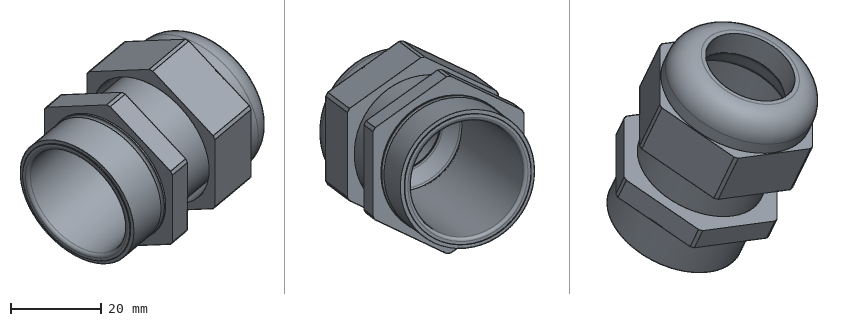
import cadquery as cq


across_flats = 36.0
across_corners = 41.0

thread_diameter = 32.0
relief_diameter = 30.16
collar_diameter = 32.27
neck_diameter = 29.85
thread_end = -11.5
thread_setback = 0.3
thread_back = -1.5
collar_length = 0.45
relief_fillet = 0.8
flange_width = 5.4
neck_exposed = 9.85
bore_diameter = 27.0
mouth_radius = 0.8

hex_width = 12.95
cap_diameter = 35.5
dome_radius = 6.2
nut_bore_diameter = 32.75
cable_hole_diameter = 21.0
overall_length = 48.8

seal_diameter = 27.5
seal_cone_diameter = 26.4
seal_throat_diameter = 21.9
seal_bore_diameter = 21.5
seal_lead_length = 0.65
seal_cone_length = 4.0
seal_throat_length = 0.7

thread_start = thread_end + thread_setback
nut_front = flange_width + neck_exposed
hex_back = nut_front + hex_width
cap_end = thread_end + overall_length
dome_start = cap_end - dome_radius
seal_throat_start = dome_start - seal_throat_length
seal_cone_start = seal_throat_start - seal_cone_length
seal_front = seal_cone_start - seal_lead_length


def turned(profile):
    """Revolve a closed (radius, Y) profile about the Y axis."""
    return profile.close().revolve(360, (0, 0, 0), (0, 1, 0))


def cylinder(diameter, start, end):
    """Solid cylinder on the Y axis between two Y positions."""
    return turned(cq.Workplane("XY").moveTo(0, start).lineTo(diameter / 2, start)
                  .lineTo(diameter / 2, end).lineTo(0, end))


def hexagon(start, end):
    """Hexagonal prism with flats on +X and -X and turned corners."""
    prism = (
        cq.Workplane("XZ", origin=(0, start, 0))
        .polygon(6, across_flats, circumscribed=True)
        .extrude(start - end)
    )
    return prism.intersect(cylinder(across_corners, start, end))


def make_body():
    """Threaded stub, hexagonal flange and neck with a bore and a seal pocket."""
    relief_radius = relief_diameter / 2
    thread_radius = thread_diameter / 2
    collar_radius = collar_diameter / 2
    neck_radius = neck_diameter / 2
    bore_radius = bore_diameter / 2
    pocket_radius = seal_diameter / 2

    shell = turned(
        cq.Workplane("XY")
        .moveTo(bore_radius + mouth_radius, thread_end)
        .lineTo(relief_radius, thread_end)
        .lineTo(relief_radius, thread_start)
        .lineTo(thread_radius, thread_start)
        .lineTo(thread_radius, thread_back)
        .lineTo(relief_radius, thread_back)
        .lineTo(relief_radius, -collar_length - relief_fillet)
        .radiusArc((relief_radius + relief_fillet, -collar_length), relief_fillet)
        .lineTo(collar_radius, -collar_length)
        .lineTo(collar_radius, flange_width)
        .lineTo(neck_radius, flange_width)
        .lineTo(neck_radius, dome_start)
        .lineTo(pocket_radius, dome_start)
        .lineTo(pocket_radius, seal_front)
        .lineTo(bore_radius, seal_front)
        .lineTo(bore_radius, thread_end + mouth_radius)
        .radiusArc((bore_radius + mouth_radius, thread_end), -mouth_radius)
    )
    flange = hexagon(0, flange_width).cut(cylinder(neck_diameter, 0, flange_width))
    return shell.union(flange)


def make_nut():
    """Hexagonal nut with a domed cap, a wide bore and a cable hole."""
    cap_radius = cap_diameter / 2
    cap = turned(
        cq.Workplane("XY")
        .moveTo(0, nut_front)
        .lineTo(cap_radius, nut_front)
        .lineTo(cap_radius, dome_start)
        .radiusArc((cap_radius - dome_radius, cap_end), -dome_radius)
        .lineTo(0, cap_end)
    )
    return (
        cap.union(hexagon(nut_front, hex_back))
        .cut(cylinder(nut_bore_diameter, nut_front, dome_start))
        .cut(cylinder(cable_hole_diameter, dome_start, cap_end))
    )


def make_seal():
    """Sealing ring in the body pocket: a lead-in, a funnel and a tapered throat."""
    return turned(
        cq.Workplane("XY")
        .moveTo(seal_diameter / 2, seal_front)
        .lineTo(seal_diameter / 2, dome_start)
        .lineTo(seal_bore_diameter / 2, dome_start)
        .lineTo(seal_throat_diameter / 2, seal_throat_start)
        .lineTo(seal_cone_diameter / 2, seal_cone_start)
        .lineTo(bore_diameter / 2, seal_front)
    )


body = make_body()
nut = make_nut()
seal = make_seal()

result = cq.Compound.makeCompound([body.val(), nut.val(), seal.val()])